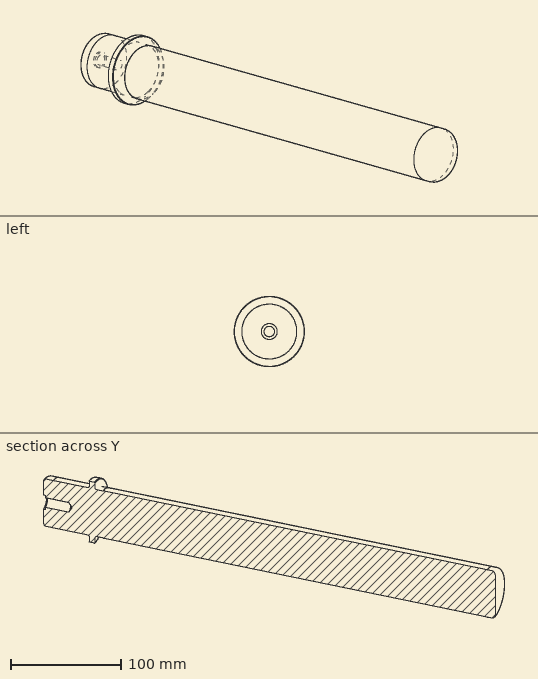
import cadquery as cq
import math

TOTAL_LENGTH = 445.0
BODY_RADIUS = 25.0
LEFT_END_FILLET = 3.0
RIGHT_END_FILLET = 4.0

LEAD_CLEARANCE = 0.01
LEAD_RADIUS = BODY_RADIUS - LEAD_CLEARANCE
LEFT_LEAD_LENGTH = 10.0
RIGHT_LEAD_LENGTH = 8.0

COLLAR_RADIUS = 32.0
COLLAR_START = 45.0
COLLAR_WIDTH = 6.0
COLLAR_END = COLLAR_START + COLLAR_WIDTH
ROOT_FILLET = 1.5
COLLAR_RIM_CHAMFER = 0.5

RELIEF_RADIUS = 24.75
RELIEF_END = 59.0

BORE_RADIUS = 4.75
BORE_DEPTH = 25.0
COUNTERBORE_RADIUS = 7.25
COUNTERBORE_DEPTH = 2.0
DRILL_POINT_ANGLE = 118.0


def make_pillar():
    """Revolve the pillar's half outline about the X axis."""
    root_top = BODY_RADIUS + ROOT_FILLET
    relief_root_top = RELIEF_RADIUS + ROOT_FILLET
    outline = (
        cq.Workplane("XY")
        .moveTo(0, 0)
        .lineTo(0, LEAD_RADIUS - LEFT_END_FILLET)
        .radiusArc((LEFT_END_FILLET, LEAD_RADIUS), LEFT_END_FILLET)
        .lineTo(LEFT_LEAD_LENGTH, LEAD_RADIUS)
        .lineTo(LEFT_LEAD_LENGTH, BODY_RADIUS)
        .lineTo(COLLAR_START - ROOT_FILLET, BODY_RADIUS)
        .radiusArc((COLLAR_START, root_top), -ROOT_FILLET)
        .lineTo(COLLAR_START, COLLAR_RADIUS)
        .lineTo(COLLAR_END - COLLAR_RIM_CHAMFER, COLLAR_RADIUS)
        .lineTo(COLLAR_END, COLLAR_RADIUS - COLLAR_RIM_CHAMFER)
        .lineTo(COLLAR_END, relief_root_top)
        .radiusArc((COLLAR_END + ROOT_FILLET, RELIEF_RADIUS), -ROOT_FILLET)
        .lineTo(RELIEF_END, RELIEF_RADIUS)
        .lineTo(RELIEF_END, BODY_RADIUS)
        .lineTo(TOTAL_LENGTH - RIGHT_LEAD_LENGTH, BODY_RADIUS)
        .lineTo(TOTAL_LENGTH - RIGHT_LEAD_LENGTH, LEAD_RADIUS)
        .lineTo(TOTAL_LENGTH - RIGHT_END_FILLET, LEAD_RADIUS)
        .radiusArc((TOTAL_LENGTH, LEAD_RADIUS - RIGHT_END_FILLET), RIGHT_END_FILLET)
        .lineTo(TOTAL_LENGTH, 0)
        .close()
    )
    return outline.revolve(360, (0, 0, 0), (1, 0, 0))


def make_centre_bore():
    """Blind bore in the left end with a counterbored mouth and a drill point."""
    point_length = BORE_RADIUS / math.tan(math.radians(DRILL_POINT_ANGLE / 2))
    outline = (
        cq.Workplane("XY")
        .moveTo(0, 0)
        .lineTo(0, COUNTERBORE_RADIUS)
        .lineTo(COUNTERBORE_DEPTH, COUNTERBORE_RADIUS)
        .lineTo(COUNTERBORE_DEPTH, BORE_RADIUS)
        .lineTo(BORE_DEPTH, BORE_RADIUS)
        .lineTo(BORE_DEPTH + point_length, 0)
        .close()
    )
    return outline.revolve(360, (0, 0, 0), (1, 0, 0))


result = make_pillar().cut(make_centre_bore())